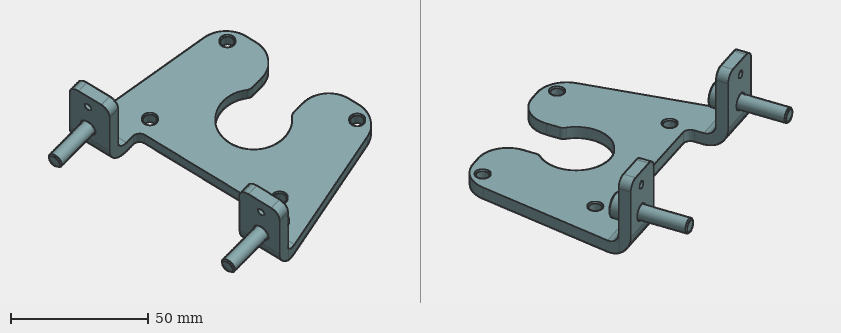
import cadquery as cq
import math


width = 97.0
depth = 76.0
height = 34.0
thickness = 5.0
bend_inner_radius = 5.0
bend_outer_radius = bend_inner_radius + thickness

side_taper = 10.0
lobe_radius = 12.0
notch_half_width = 30.0
notch_depth = 17.0
notch_corner_radius = 3.0

slot_width = 19.0
round_diameter = 28.0
round_center_y = 47.0
slot_edge_radius = 3.0

plate_hole_diameter = 4.9
plate_hole_mouth_diameter = 6.0
plate_hole_x = notch_half_width
plate_hole_rows = (24.0, 70.0)

tab_corner_radius = 4.0
tab_hole_x = 40.0
small_hole_diameter = 3.0
small_hole_z = 28.0
screw_hole_diameter = 6.8
screw_z = 16.0

shank_diameter = 6.0
shank_reach = 20.0
tip_diameter = 4.9
head_diameter = 10.0
head_height = 5.8
head_chamfer = 0.4


def make_bent_blank():
    """Plan outline of the bracket cut from a sheet that is bent up along the front."""
    half_width = width / 2
    rear_half_width = half_width - (depth - thickness) * math.tan(math.radians(side_taper))
    outline = (
        cq.Workplane("XY")
        .polyline([
            (notch_half_width, 0),
            (half_width, 0),
            (half_width, thickness),
            (rear_half_width, depth),
            (-rear_half_width, depth),
            (-half_width, thickness),
            (-half_width, 0),
            (-notch_half_width, 0),
            (-notch_half_width, notch_depth),
            (notch_half_width, notch_depth),
        ])
        .close()
        .extrude(height)
    )
    bent_sheet = (
        cq.Workplane("YZ")
        .moveTo(depth, 0)
        .lineTo(bend_outer_radius, 0)
        .radiusArc((0, bend_outer_radius), bend_outer_radius)
        .lineTo(0, height)
        .lineTo(thickness, height)
        .lineTo(thickness, bend_outer_radius)
        .radiusArc((bend_outer_radius, thickness), -bend_inner_radius)
        .lineTo(depth, thickness)
        .close()
        .extrude(width / 2, both=True)
    )
    return outline.intersect(bent_sheet)


def make_keyhole():
    """Round opening joined to the rear edge by a straight slot."""
    slot_length = depth - round_center_y
    slot = (
        cq.Workplane("XY")
        .center(0, round_center_y + slot_length / 2)
        .rect(slot_width, slot_length)
        .extrude(thickness)
    )
    round_opening = (
        cq.Workplane("XY")
        .center(0, round_center_y)
        .circle(round_diameter / 2)
        .extrude(thickness)
    )
    return slot.union(round_opening)


def round_upright_edges(body, y, radius):
    """Fillet the plate's upright edges that stand at the given distance Y."""
    margin = 1.0
    near = (-width, y - margin, -margin)
    far = (width, y + margin, thickness + margin)
    return body.edges("|Z").edges(cq.selectors.BoxSelector(near, far)).fillet(radius)


def round_plate_corners(body):
    """Round the rear lobes, the edges where slot and round opening meet, and the notch corners."""
    slot_edge_y = round_center_y + math.sqrt(round_diameter ** 2 - slot_width ** 2) / 2
    body = round_upright_edges(body, depth, lobe_radius)
    body = round_upright_edges(body, slot_edge_y, slot_edge_radius)
    return round_upright_edges(body, notch_depth, notch_corner_radius)


def make_plate_holes():
    """Through holes in the plate, each chamfered at its top rim."""
    chamfer_depth = (plate_hole_mouth_diameter - plate_hole_diameter) / 2
    chamfer_angle = 45
    centers = [(x, y) for x in (-plate_hole_x, plate_hole_x) for y in plate_hole_rows]
    holes = cq.Workplane("XY").pushPoints(centers).circle(plate_hole_diameter / 2).extrude(thickness)
    mouths = (
        cq.Workplane("XY", origin=(0, 0, thickness))
        .pushPoints(centers)
        .circle(plate_hole_mouth_diameter / 2)
        .extrude(-chamfer_depth, taper=chamfer_angle)
    )
    return holes.union(mouths)


def make_tab_holes(diameter, z):
    """One through hole in each tab."""
    return (
        cq.Workplane("XZ")
        .pushPoints([(-tab_hole_x, z), (tab_hole_x, z)])
        .circle(diameter / 2)
        .extrude(-thickness)
    )


def make_bracket():
    body = make_bent_blank().cut(make_keyhole())
    body = round_plate_corners(body)
    body = body.faces(">Z").edges("|Y").fillet(tab_corner_radius)
    body = body.cut(make_plate_holes())
    body = body.cut(make_tab_holes(small_hole_diameter, small_hole_z))
    return body.cut(make_tab_holes(screw_hole_diameter, screw_z))


def make_screw(x):
    """Cap screw seated on the rear face of a tab, pointing forward."""
    seat = cq.Workplane("XZ", origin=(x, thickness, screw_z))
    shank = seat.circle(shank_diameter / 2).extrude(thickness + shank_reach)
    shank = shank.faces("<Y").chamfer((shank_diameter - tip_diameter) / 2)
    head = seat.circle(head_diameter / 2).extrude(-head_height)
    head = head.faces(">Y").edges().chamfer(head_chamfer)
    return head.union(shank)


bracket = make_bracket()
screws = [make_screw(x) for x in (-tab_hole_x, tab_hole_x)]

result = cq.Compound.makeCompound([bracket.val(), *[screw.val() for screw in screws]])